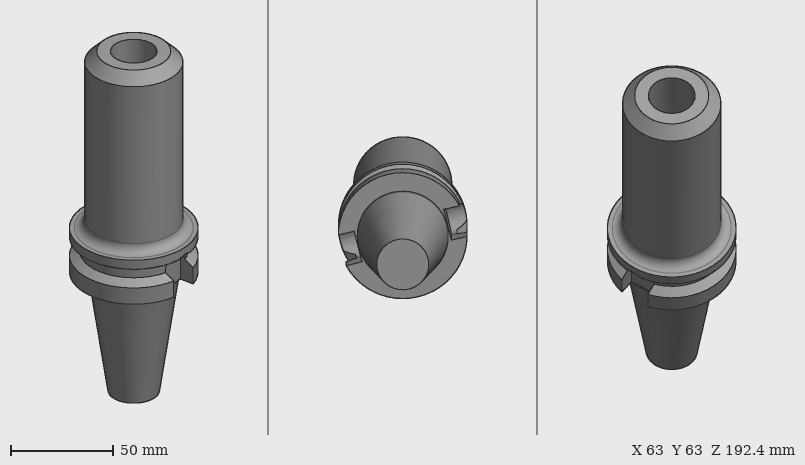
import cadquery as cq

total_length = 192.4

taper_length = 65.5
taper_large_diameter = 44.5
taper_large_radius = taper_large_diameter / 2
taper_ratio = 7 / 24
taper_small_radius = taper_large_radius - taper_length * taper_ratio / 2
neck_length = 2.0

flange_diameter = 63.0
flange_radius = flange_diameter / 2
flange_thickness = 25.0
groove_floor_radius = 26.5
lower_rim_height = 9.2
groove_flank_height = 2.9
groove_floor_height = 4.8
flange_bottom = taper_length + neck_length
flange_top = flange_bottom + flange_thickness
groove_bottom = flange_bottom + lower_rim_height
groove_floor_bottom = groove_bottom + groove_flank_height
groove_floor_top = groove_floor_bottom + groove_floor_height
groove_top = groove_floor_top + groove_flank_height

body_radius = 24.0
body_fillet = 5.0
nose_chamfer = 6.0
bore_radius = 11.4
bore_depth = 50.0

slot_width = 15.8
slot_height = 21.0
slot_floor_distance = 22.5


def make_turned_body():
    """Revolve the half profile of taper, flange and body about Z."""
    fillet_middle = body_fillet * (1 - 0.5 ** 0.5)
    profile = (
        cq.Workplane("XZ")
        .lineTo(taper_small_radius, 0)
        .lineTo(taper_large_radius, taper_length)
        .lineTo(taper_large_radius, flange_bottom)
        .lineTo(flange_radius, flange_bottom)
        .lineTo(flange_radius, groove_bottom)
        .lineTo(groove_floor_radius, groove_floor_bottom)
        .lineTo(groove_floor_radius, groove_floor_top)
        .lineTo(flange_radius, groove_top)
        .lineTo(flange_radius, flange_top)
        .lineTo(body_radius + body_fillet, flange_top)
        .threePointArc(
            (body_radius + fillet_middle, flange_top + fillet_middle),
            (body_radius, flange_top + body_fillet),
        )
        .lineTo(body_radius, total_length - nose_chamfer)
        .lineTo(body_radius - nose_chamfer, total_length)
        .lineTo(0, total_length)
        .close()
    )
    return profile.revolve(360, (0, 0, 0), (0, 1, 0))


def make_bore():
    """Blind tool bore, open at the nose."""
    return (
        cq.Workplane("XY", origin=(0, 0, total_length - bore_depth))
        .circle(bore_radius)
        .extrude(bore_depth)
    )


def make_drive_slot(side):
    """Round-topped slot cutter lying outside the slot floor; side is -1 or 1."""
    half_width = slot_width / 2
    arc_start = flange_bottom + slot_height - half_width
    return (
        cq.Workplane("YZ", origin=(side * slot_floor_distance, 0, 0))
        .moveTo(-half_width, flange_bottom)
        .lineTo(half_width, flange_bottom)
        .lineTo(half_width, arc_start)
        .threePointArc((0, flange_bottom + slot_height), (-half_width, arc_start))
        .close()
        .extrude(side * flange_radius)
    )


result = make_turned_body().cut(make_bore())
for side in (-1, 1):
    result = result.cut(make_drive_slot(side))